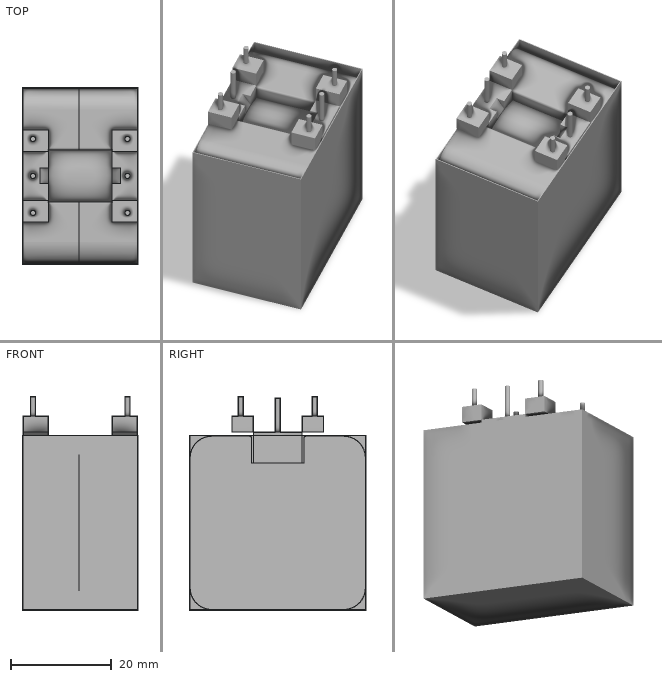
import cadquery as cq

CASE_X = 23.0
CASE_Y = 35.05
CASE_HEIGHT = 34.7
CASE_WALL = 0.155

CORE_X = CASE_X - 2 * CASE_WALL
CORE_Y = CASE_Y - 2 * CASE_WALL
CORE_TOP = CASE_HEIGHT - CASE_WALL
CORE_BOTTOM = CASE_WALL
CORE_CORNER_RADIUS = 4.25
CORE_SPLIT_X = -0.25
CORE_MID_Z = (CORE_TOP + CORE_BOTTOM) / 2

CHANNEL_HALF_Y = 5.17
CHANNEL_EDGE_RADIUS = 0.4
CHANNEL_FLOOR_Z = 29.25

DRUM_RADIUS = 15.25
PLATE_INNER_X = 6.3
PLATE_OUTER_X = CORE_X / 2
PLATE_HALF_Y = 4.85
PLATE_TOP = 35.3

NOTCH_LENGTH = 1.65
NOTCH_HALF_Y = 1.53
NOTCH_DEPTH = 2.35

PIN_RADIUS = 0.5
PIN_X = 9.35
PIN_Y = 7.35
PLATE_PIN_TOP = 42.1
BLOCK_OUTER_Y = 9.1
BLOCK_TOP = 38.5
BLOCK_PIN_TOP = 42.4

SIDES = (-1, 1)


def box_between(x_range, y_range, z_range):
    """Box spanning the given pairs of limits, in either order."""
    spans = [(min(pair), max(pair)) for pair in (x_range, y_range, z_range)]
    sizes = [high - low for low, high in spans]
    corner = tuple(low for low, high in spans)
    return cq.Workplane("XY").box(*sizes, centered=False).translate(corner)


def pin(x, y, z_bottom, z_top):
    """Round upright pin."""
    return cq.Workplane("XY", origin=(x, y, z_bottom)).circle(PIN_RADIUS).extrude(z_top - z_bottom)


def drum():
    """Solid cylinder along X between the two plates."""
    start = (-PLATE_INNER_X, 0, CORE_MID_Z)
    return cq.Workplane("YZ", origin=start).circle(DRUM_RADIUS).extrude(2 * PLATE_INNER_X)


def make_case():
    """Can hollowed from its open top."""
    outer = box_between((-CASE_X / 2, CASE_X / 2), (-CASE_Y / 2, CASE_Y / 2), (0, CASE_HEIGHT))
    return outer.faces(">Z").shell(-CASE_WALL)


def core_channel():
    """Channel through the full length of the core, flaring to rounded top edges."""
    mouth_half_y = CHANNEL_HALF_Y + CHANNEL_EDGE_RADIUS
    edge_start_z = CORE_TOP - CHANNEL_EDGE_RADIUS
    return (
        cq.Workplane("YZ", origin=(-CORE_X / 2, 0, 0))
        .moveTo(-CHANNEL_HALF_Y, CHANNEL_FLOOR_Z)
        .lineTo(CHANNEL_HALF_Y, CHANNEL_FLOOR_Z)
        .lineTo(CHANNEL_HALF_Y, edge_start_z)
        .radiusArc((mouth_half_y, CORE_TOP), CHANNEL_EDGE_RADIUS)
        .lineTo(-mouth_half_y, CORE_TOP)
        .radiusArc((-CHANNEL_HALF_Y, edge_start_z), CHANNEL_EDGE_RADIUS)
        .close()
        .extrude(CORE_X)
    )


def make_core_half(x_start, x_end):
    """Part of the hollow rounded core between two X positions."""
    block = (
        box_between((x_start, x_end), (-CORE_Y / 2, CORE_Y / 2), (CORE_BOTTOM, CORE_TOP))
        .edges("|X")
        .fillet(CORE_CORNER_RADIUS)
    )
    return block.cut(drum()).cut(core_channel())


def plate_notch(side):
    """Wedge that is deepest at the inner edge of the plate."""
    return (
        cq.Workplane("XZ", origin=(0, NOTCH_HALF_Y, 0))
        .moveTo(side * PLATE_INNER_X, PLATE_TOP)
        .lineTo(side * (PLATE_INNER_X + NOTCH_LENGTH), PLATE_TOP)
        .lineTo(side * PLATE_INNER_X, PLATE_TOP - NOTCH_DEPTH)
        .close()
        .extrude(2 * NOTCH_HALF_Y)
    )


def make_bobbin():
    """Drum with both terminal plates and the pin on each plate."""
    bobbin = drum()
    for side in SIDES:
        plate = box_between(
            (side * PLATE_INNER_X, side * PLATE_OUTER_X),
            (-PLATE_HALF_Y, PLATE_HALF_Y),
            (CHANNEL_FLOOR_Z, PLATE_TOP),
        )
        plate_pin = pin(side * PIN_X, 0, PLATE_TOP, PLATE_PIN_TOP)
        bobbin = bobbin.union(plate.cut(plate_notch(side))).union(plate_pin)
    return bobbin


def make_terminal_block(side_x, side_y):
    """Corner block with its underside level with the plate top, with its own pin."""
    block = box_between(
        (side_x * PLATE_INNER_X, side_x * PLATE_OUTER_X),
        (side_y * PLATE_HALF_Y, side_y * BLOCK_OUTER_Y),
        (PLATE_TOP, BLOCK_TOP),
    )
    return block.union(pin(side_x * PIN_X, side_y * PIN_Y, BLOCK_TOP, BLOCK_PIN_TOP))


case = make_case()
left_core_half = make_core_half(-CORE_X / 2, CORE_SPLIT_X)
right_core_half = make_core_half(CORE_SPLIT_X, CORE_X / 2)
bobbin = make_bobbin()
terminal_blocks = [make_terminal_block(side_x, side_y) for side_x in SIDES for side_y in SIDES]

result = cq.Compound.makeCompound(
    [
        case.val(),
        left_core_half.val(),
        right_core_half.val(),
        bobbin.val(),
        *[block.val() for block in terminal_blocks],
    ]
)